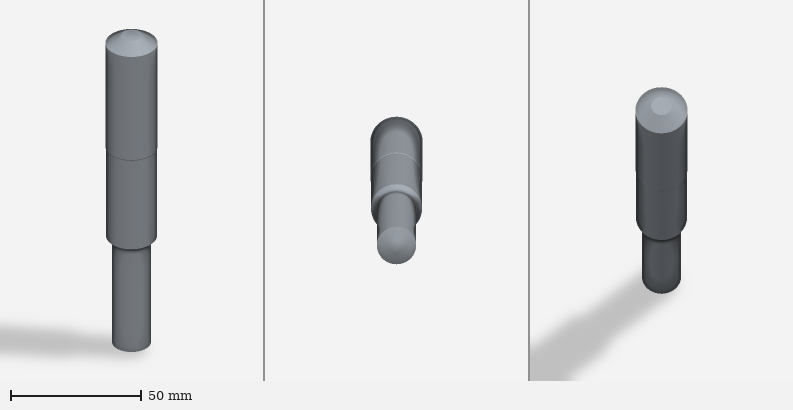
import cadquery as cq

total_length = 142.0

head_radius = 20.0 / 2
head_length = 50.8
head_top_radius = 4.0
head_cone_height = 3.5
head_bevel_height = 0.4

shank_radius = 19.6 / 2
shank_length = 40.2
pin_radius = 15.0 / 2
point_height = 2.8

joint_z = total_length - head_length
shoulder_z = joint_z - shank_length
shoulder_height = shank_radius - pin_radius


def revolve_profile(points):
    """Revolve a closed (radius, height) outline about the Z axis."""
    return cq.Workplane("XZ").polyline(points).close().revolve(360, (0, 0), (0, 1))


def make_head():
    """Cylinder with a truncated cone on top and a bevel down to the shank diameter."""
    return revolve_profile([
        (0, joint_z),
        (shank_radius, joint_z),
        (head_radius, joint_z + head_bevel_height),
        (head_radius, total_length - head_cone_height),
        (head_top_radius, total_length),
        (0, total_length),
    ])


def make_shank():
    """Cylinder with a conical shoulder leading to a thinner pin with a conical point."""
    return revolve_profile([
        (0, 0),
        (pin_radius, point_height),
        (pin_radius, shoulder_z - shoulder_height),
        (shank_radius, shoulder_z),
        (shank_radius, joint_z),
        (0, joint_z),
    ])


head = make_head()
shank = make_shank()

result = cq.Compound.makeCompound([head.val(), shank.val()])